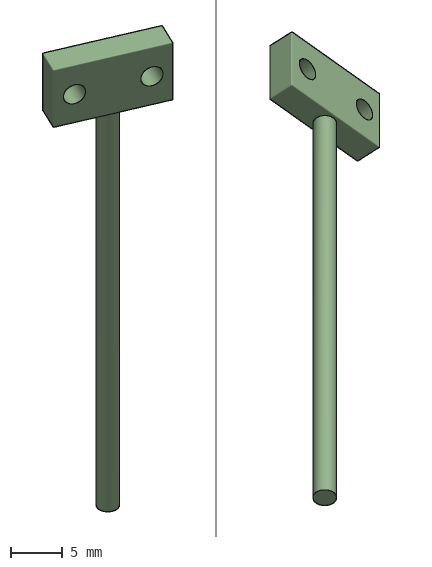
import cadquery as cq

block_thickness = 3.0
block_width = 12.4
block_height = 7.0
edge_radius = 0.1

hole_diameter = 2.3
hole_spacing = 8.0

total_length = 55.5
rod_diameter = 2.3
rod_length = total_length - block_height


def mounting_block():
    """Block standing on Z = 0 with rounded outer edges and two plain through holes."""
    blank = cq.Workplane("XY").box(
        block_thickness, block_width, block_height, centered=(True, True, False)
    ).edges().fillet(edge_radius)
    holes = (
        cq.Workplane("YZ", origin=(0, 0, block_height / 2))
        .pushPoints([(side * hole_spacing / 2, 0) for side in (-1, 1)])
        .circle(hole_diameter / 2)
        .extrude(block_thickness, both=True)
    )
    return blank.cut(holes)


def rod():
    """Round rod reaching down from the middle of the block's underside."""
    return cq.Workplane("XY").circle(rod_diameter / 2).extrude(-rod_length)


result = mounting_block().union(rod())